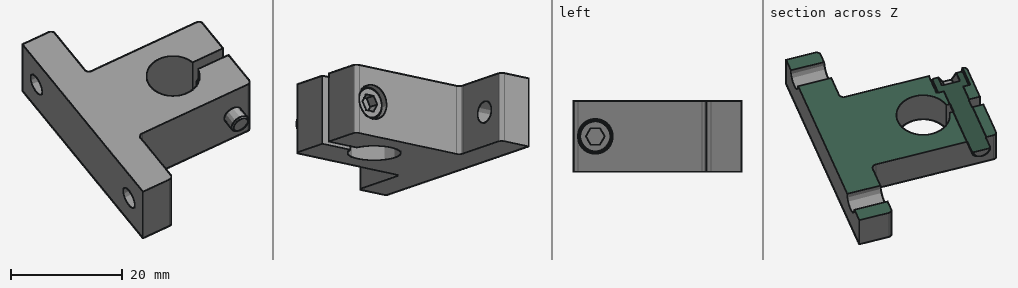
import cadquery as cq
import math

base_width = 41.25
base_depth = 6.35
stem_width = 17.45
total_depth = 30.15
thickness = 12.7
corner_radius = 0.8

mount_hole_diameter = 3.95
mount_hole_spacing = 31.7

bore_diameter = 9.55
bore_y = 19.05
slot_width = 1.85

screw_y = total_depth - 3.92
shank_diameter = 3.55
shank_end_x = 11.5
shank_end_chamfer = 0.3
head_diameter = 5.85
head_height = 3.5
head_chamfer = 0.25
head_recess = 0.85
socket_across_flats = 2.95
socket_across_corners = socket_across_flats / math.cos(math.radians(30))
socket_depth = 2.05
counterbore_diameter = 6.27

stem_side_x = -stem_width / 2
head_top_x = stem_side_x + head_recess
head_seat_x = head_top_x + head_height


def cylinder_x(diameter, start_x, end_x):
    """Cylinder on the screw axis between two X positions."""
    return (
        cq.Workplane("YZ", origin=(start_x, screw_y, 0))
        .circle(diameter / 2)
        .extrude(end_x - start_x)
    )


def make_bracket():
    base = cq.Workplane("XY").box(base_width, base_depth, thickness, centered=(True, False, True))
    stem = cq.Workplane("XY").box(stem_width, total_depth, thickness, centered=(True, False, True))
    rounded_corners = cq.selectors.BoxSelector(
        (-base_width, base_depth / 2, -thickness),
        (base_width, total_depth + base_depth, thickness),
    )
    body = base.union(stem).edges("|Z").edges(rounded_corners).fillet(corner_radius)

    bore = (
        cq.Workplane("XY", origin=(0, bore_y, 0))
        .circle(bore_diameter / 2)
        .extrude(thickness / 2, both=True)
    )
    slot = cq.Workplane("XY", origin=(0, bore_y, 0)).box(
        slot_width, total_depth - bore_y, thickness, centered=(True, False, True)
    )
    body = body.cut(bore).cut(slot)

    mount_holes = (
        cq.Workplane("XZ")
        .pushPoints([(side * mount_hole_spacing / 2, 0) for side in (-1, 1)])
        .circle(mount_hole_diameter / 2)
        .extrude(-base_depth)
    )
    body = body.cut(mount_holes)

    screw_hole = cylinder_x(shank_diameter, stem_side_x, stem_width / 2)
    counterbore = cylinder_x(counterbore_diameter, stem_side_x, head_seat_x)
    return body.cut(screw_hole).cut(counterbore)


def make_clamp_screw():
    head = cylinder_x(head_diameter, head_top_x, head_seat_x).faces("<X").chamfer(head_chamfer)
    shank = cylinder_x(shank_diameter, head_seat_x, shank_end_x).faces(">X").chamfer(shank_end_chamfer)

    socket = (
        cq.Workplane("YZ", origin=(head_top_x, screw_y, 0))
        .polygon(6, socket_across_corners)
        .extrude(socket_depth)
    )
    return head.union(shank).cut(socket)


bracket = make_bracket()
clamp_screw = make_clamp_screw()

result = cq.Compound.makeCompound([bracket.solids().val(), clamp_screw.solids().val()])